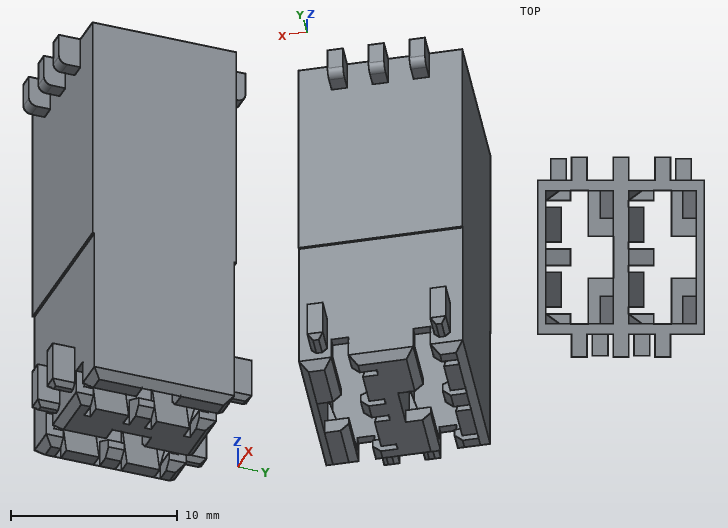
import cadquery as cq

WIDTH = 10.0
HEIGHT = 25.0
UPPER_DEPTH = 9.25
LOWER_DEPTH = 9.0
STEP_Z = 10.0
FOOT_CHAMFER = 0.5

SIDE_WALL = 0.5
CENTRE_WALL = 0.9
CAVITY_DEPTH = 8.0
FLOOR = 1.0
CAVITY_WIDTH = (WIDTH - CENTRE_WALL) / 2 - SIDE_WALL
CAVITY_LEFT_EDGES = (-WIDTH / 2 + SIDE_WALL, CENTRE_WALL / 2)
CAVITY_BACK = CAVITY_DEPTH / 2

CHANNEL_PITCH = 5.0
CHANNEL_WIDTH = 1.05
CHANNEL_HEIGHT = 2.0
CHANNEL_CENTRES = (-CHANNEL_PITCH / 2, CHANNEL_PITCH / 2)

CORNER_PAD_DEPTH = 0.6
MIDDLE_PAD_DEPTH = 1.0
RIGHT_GAP_HALF = 1.25

LEFT_WEDGE_WIDTH = 0.92
LEFT_WEDGE_HEIGHT = 3.5
LEFT_WEDGE_LENGTH = 2.1
LEFT_WEDGE_CENTRE = 1.95
RIGHT_WEDGE_WIDTH = 0.8
RIGHT_WEDGE_HEIGHT = 3.0
RIGHT_WEDGE_LENGTH = 1.65
MIDDLE_PAD_RISE = 0.75
GUSSET_WIDTH = 0.82
GUSSET_DEPTH = CORNER_PAD_DEPTH
GUSSET_HEIGHT = 2.38

RIB_WIDTH = 0.95
TOP_RIB_SPAN = 12.0
TOP_RIB_HEIGHT = 2.0
TOP_RIB_FILLET = 0.5
TOP_RIB_CENTRES = (-2.5, 0.0, 2.5)
LOW_RIB_SPAN = 11.82
LOW_RIB_BOTTOM = 1.0
LOW_RIB_TOP = 3.8
LOW_RIB_CHAMFER = 0.3
FRONT_LOW_RIB_CENTRES = (-1.25, 1.25)
BACK_LOW_RIB_CENTRES = (-3.75, 3.75)


def block(x_range, y_range, z_range):
    """Axis-aligned box between the given limits."""
    (x0, x1), (y0, y1), (z0, z1) = x_range, y_range, z_range
    return cq.Workplane("XY").box(x1 - x0, y1 - y0, z1 - z0, centered=False).translate((x0, y0, z0))


def wedge(x_wall, reach, y_range, z_base, rise):
    """Right-triangle prism against the wall at x_wall; reach is signed along X."""
    y0, y1 = y_range
    profile = [(x_wall, z_base), (x_wall + reach, z_base), (x_wall, z_base + rise)]
    return cq.Workplane("XZ", origin=(0, y1, 0)).polyline(profile).close().extrude(y1 - y0)


def corner_gusset(x_wall, side):
    """Three-sided pyramid on the floor in a left cavity corner; side is +1 back, -1 front."""
    y_wall = side * CAVITY_BACK
    corner = cq.Vector(x_wall, y_wall, FLOOR)
    along_x = cq.Vector(x_wall + GUSSET_WIDTH, y_wall, FLOOR)
    along_y = cq.Vector(x_wall, y_wall - side * GUSSET_DEPTH, FLOOR)
    apex = cq.Vector(x_wall, y_wall, FLOOR + GUSSET_HEIGHT)
    triangles = (
        (corner, along_x, along_y),
        (corner, along_x, apex),
        (corner, along_y, apex),
        (along_x, along_y, apex),
    )
    faces = [cq.Face.makeFromWires(cq.Wire.makePolygon(t, close=True)) for t in triangles]
    return cq.Workplane(obj=cq.Solid.makeSolid(cq.Shell.makeShell(faces)))


def housing():
    """Outer body: chamfered lower part with a slightly deeper upper part."""
    lower = cq.Workplane("XY").box(WIDTH, LOWER_DEPTH, STEP_Z, centered=(True, True, False))
    lower = lower.faces("<Z").chamfer(FOOT_CHAMFER)
    upper = cq.Workplane("XY", origin=(0, 0, STEP_Z)).rect(WIDTH, UPPER_DEPTH).extrude(HEIGHT - STEP_Z)
    return lower.union(upper)


def channel(x_centre):
    """Front-to-back slot with flared lower edges."""
    half = CHANNEL_WIDTH / 2
    flare = half + FOOT_CHAMFER
    profile = [
        (x_centre - flare, 0),
        (x_centre + flare, 0),
        (x_centre + half, FOOT_CHAMFER),
        (x_centre + half, CHANNEL_HEIGHT),
        (x_centre - half, CHANNEL_HEIGHT),
        (x_centre - half, FOOT_CHAMFER),
    ]
    return cq.Workplane("XZ").polyline(profile).close().extrude(LOWER_DEPTH, both=True)


def cavity_cut(x_left, x_channel):
    """Cavity above the floor plus the openings through the floor."""
    x_right = x_left + CAVITY_WIDTH
    cut = block((x_left, x_right), (-CAVITY_BACK, CAVITY_BACK), (FLOOR, HEIGHT))
    pad_gap = (MIDDLE_PAD_DEPTH / 2, CAVITY_BACK - CORNER_PAD_DEPTH)
    for y_range in (pad_gap, (-pad_gap[1], -pad_gap[0])):
        cut = cut.union(block((x_left, x_channel), y_range, (0, FLOOR)))
    return cut.union(block((x_channel, x_right), (-RIGHT_GAP_HALF, RIGHT_GAP_HALF), (0, FLOOR)))


def cavity_wedges(x_left, x_channel):
    """Sloped blocks standing against the cavity walls."""
    x_right = x_left + CAVITY_WIDTH
    middle_reach = x_channel - CHANNEL_WIDTH / 2 - x_left
    middle_range = (-MIDDLE_PAD_DEPTH / 2, MIDDLE_PAD_DEPTH / 2)
    parts = wedge(x_left, middle_reach, middle_range, FLOOR, MIDDLE_PAD_RISE)
    for side in (-1, 1):
        left_middle = side * LEFT_WEDGE_CENTRE
        left_range = (left_middle - LEFT_WEDGE_LENGTH / 2, left_middle + LEFT_WEDGE_LENGTH / 2)
        right_range = sorted((side * CAVITY_BACK, side * (CAVITY_BACK - RIGHT_WEDGE_LENGTH)))
        parts = parts.union(wedge(x_left, LEFT_WEDGE_WIDTH, left_range, 0, LEFT_WEDGE_HEIGHT))
        parts = parts.union(wedge(x_right, -RIGHT_WEDGE_WIDTH, right_range, FLOOR, RIGHT_WEDGE_HEIGHT))
        parts = parts.union(corner_gusset(x_left, side))
    return parts


def top_rib(x_centre, side):
    """Rib at the rim with a rounded lower outer edge; side is +1 back, -1 front."""
    x_range = (x_centre - RIB_WIDTH / 2, x_centre + RIB_WIDTH / 2)
    y_range = sorted((side * CAVITY_BACK, side * TOP_RIB_SPAN / 2))
    rib = block(x_range, y_range, (HEIGHT - TOP_RIB_HEIGHT, HEIGHT))
    outer_face = ">Y" if side > 0 else "<Y"
    return rib.faces(outer_face).edges("<Z").fillet(TOP_RIB_FILLET)


def low_rib(x_centre, side):
    """Rib near the feet with a chamfered lower end; side is +1 back, -1 front."""
    x_range = (x_centre - RIB_WIDTH / 2, x_centre + RIB_WIDTH / 2)
    y_wall = side * LOWER_DEPTH / 2
    y_range = sorted((y_wall, side * LOW_RIB_SPAN / 2))
    rib = block(x_range, y_range, (LOW_RIB_BOTTOM, LOW_RIB_TOP))
    wall_face = "<Y" if side > 0 else ">Y"
    exposed = rib.faces("<Z").edges(f"not({wall_face})")
    return exposed.chamfer(LOW_RIB_CHAMFER)


body = housing()

for x_left, x_channel in zip(CAVITY_LEFT_EDGES, CHANNEL_CENTRES):
    body = body.cut(channel(x_channel))
    body = body.cut(cavity_cut(x_left, x_channel))
    body = body.union(cavity_wedges(x_left, x_channel))

for x_centre in TOP_RIB_CENTRES:
    for side in (-1, 1):
        body = body.union(top_rib(x_centre, side))
for x_centre in FRONT_LOW_RIB_CENTRES:
    body = body.union(low_rib(x_centre, -1))
for x_centre in BACK_LOW_RIB_CENTRES:
    body = body.union(low_rib(x_centre, 1))

result = body